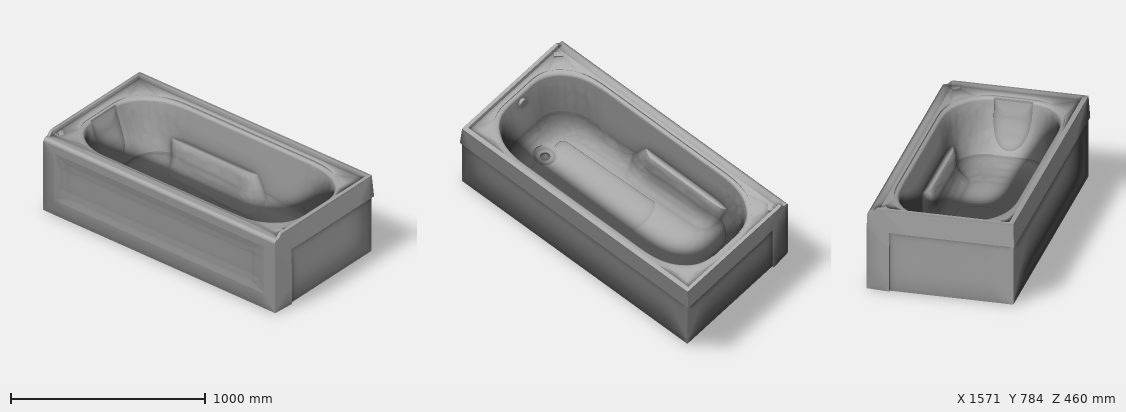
import cadquery as cq
import math

LENGTH = 1571.0
WIDTH = 784.0
HEIGHT = 460.0
HALF_X = LENGTH / 2
HALF_Y = WIDTH / 2

SKIRT_TOP_Z = 451.0
SKIRT_EDGE_Z = 333.0
SKIRT_LEAN = 10.0
BACK_LEAN = 6.0
SKIRT_FRONT_EDGE_Y = -270.0
PANEL_INSET = 11.0
BACK_PANEL_INSET = 6.0
FACET_TOP_Y = -302.0
FLANGE_FRONT_Y = -340.0

DECK_Z = 426.0
DECK_RISE = 14.0
DECK_EDGE_Z = DECK_Z + DECK_RISE
THRESHOLD_Z = 437.0
THRESHOLD_Y = -333.0
FLANGE_INNER_X = 757.0
FLANGE_INNER_Y = 360.0
FLANGE_DRAFT = 5.0
CREST_Y = -370.0
ROUND_START_Z = 418.0
THRESHOLD_FALL = 5.0

FACET_OUT_X = 700.0
FACET_IN_X = 573.0
FACET_OUT_Y = 300.0
FACET_IN_Y = 206.0
CORNERS = [(-1, -1), (1, -1), (1, 1), (-1, 1)]

PANEL_HALF_X = 702.0
PANEL_BOTTOM_Z = 90.0
PANEL_TOP_Z = 374.0
BEVEL_WIDTH = 41.0
OUTER_BEVEL_DEPTH = 6.0
PANEL_DEPTH = 10.0

BASIN_Y = 8.0
RIM_LEFT = -720.0
RIM_RIGHT = 729.0
RIM_HALF_Y = 328.0
LIP_INSET = 20.0
LIP_DROP = 15.0
CREASE_Z = 163.0
CREASE_LEFT = -573.0
CREASE_RIGHT = 665.0
CREASE_HALF_Y = 267.0
WALL_SHARES = (0, 0.33, 0.66, 1)
BACKREST_BULGE = 22.0
FLOOR_HIGH_Z = 91.0
FLOOR_FALL = 0.045
FLOOR_LEFT = -402.0
FLOOR_RIGHT = 556.0
FLOOR_HALF_Y = 145.0
CORNER_FULLNESS = 0.73
CORNER_LONG = 306.0
CORNER_WIDE = 225.0
CORNER_LONG_CREASE = 251.0
CORNER_WIDE_CREASE = 189.0
CORNER_LONG_FLOOR = 55.0
CORNER_WIDE_FLOOR = 55.0

WELL_ARC_X = -141.0
WELL_CORNER_X = -95.0
WELL_RIGHT = 544.0
WELL_HALF_Y = 138.0
WELL_DEPTH = 3.0
WELL_CORNER = 31.0

DRAIN_X = 540.0
SUMP_RADIUS = 63.0
SUMP_SEAT_RADIUS = 47.0
SUMP_DEPTH = 10.0
DRAIN_RADIUS = 27.0
DRAIN_DEPTH = 15.0
OVERFLOW_Z = 370.0
OVERFLOW_RADIUS = 25.0
OVERFLOW_FACE_X = 690.0
OVERFLOW_REACH = 31.0

ARM_LEVELS = [
    (235.0, 157.0, 247.0, 0),
    (212.0, 189.0, 235.0, 0),
    (150.0, 315.0, 226.0, 0.5),
    (116.0, 425.0, 203.0, 1),
    (96.0, 534.0, 167.0, 1),
    (86.0, 597.0, 132.0, 1),
]
ARM_START_X = -487.0
ARM_START_LENGTH = 125.0
ARM_BACK_Y = 306.0
ARM_BEND_X = 24.0

HEAD_HALF_Y = 102.0
HEAD_LEFT = -726.0
HEAD_RIGHT = -590.0
HEAD_DEPTH = 10.0

STOP_X = 727.0
STOP_Y = -305.0
STOP_LENGTH = 44.0
STOP_WIDTH = 25.0
STOP_HEIGHT = 19.0


def outer_body():
    """Block with leaning side skirts and a leaning back, chamfered across the upper front corners."""
    narrow = HALF_X - SKIRT_LEAN
    end_outline = (
        cq.Workplane("XZ", origin=(0, HALF_Y, 0))
        .polyline([
            (-HALF_X, 0), (HALF_X, 0), (HALF_X, SKIRT_EDGE_Z), (narrow, SKIRT_TOP_Z),
            (narrow, HEIGHT), (-narrow, HEIGHT), (-narrow, SKIRT_TOP_Z), (-HALF_X, SKIRT_EDGE_Z),
        ])
        .close().extrude(WIDTH)
    )
    plan = (
        cq.Workplane("XY")
        .polyline([
            (-narrow, -HALF_Y), (narrow, -HALF_Y), (HALF_X, SKIRT_FRONT_EDGE_Y), (HALF_X, HALF_Y),
            (-HALF_X, HALF_Y), (-HALF_X, SKIRT_FRONT_EDGE_Y),
        ])
        .close().extrude(HEIGHT)
    )
    round_middle = (
        -HALF_Y + (CREST_Y + HALF_Y) * (1 - math.sqrt(0.5)),
        ROUND_START_Z + (THRESHOLD_Z - ROUND_START_Z) * math.sqrt(0.5),
    )
    side_outline = (
        cq.Workplane("YZ", origin=(-HALF_X, 0, 0))
        .polyline([
            (-HALF_Y, 0), (HALF_Y, 0), (HALF_Y, SKIRT_EDGE_Z), (HALF_Y - BACK_LEAN, SKIRT_TOP_Z),
            (HALF_Y - BACK_LEAN, HEIGHT), (FLANGE_FRONT_Y, HEIGHT),
            (FLANGE_FRONT_Y - HEIGHT + THRESHOLD_Z, THRESHOLD_Z), (CREST_Y, THRESHOLD_Z),
        ])
        .threePointArc(round_middle, (-HALF_Y, ROUND_START_Z))
        .close().extrude(LENGTH)
    )
    body = end_outline.intersect(plan).intersect(side_outline)

    run = SKIRT_TOP_Z - SKIRT_EDGE_Z
    for side in (-1, 1):
        upper = cq.Vector(side * narrow, FACET_TOP_Y, SKIRT_TOP_Z)
        down_skirt = cq.Vector(side * SKIRT_LEAN, run, -run)
        across = cq.Vector(side * narrow, -HALF_Y, SKIRT_TOP_Z - (FACET_TOP_Y + HALF_Y)) - upper
        normal = across.cross(down_skirt) * side
        facet = cq.Plane(origin=upper.toTuple(), xDir=across.toTuple(), normal=normal.toTuple())
        body = body.cut(cq.Workplane(facet).rect(2 * LENGTH, 2 * LENGTH).extrude(LENGTH / 4))
    return body


def panel_setback():
    """Material removed below the skirt so that the side and back panels stand behind it."""
    side_depth = HALF_Y - SKIRT_FRONT_EDGE_Y
    cutter = cq.Workplane("XY").box(
        LENGTH, BACK_PANEL_INSET, SKIRT_EDGE_Z, centered=(True, False, False)
    ).translate((0, HALF_Y - BACK_PANEL_INSET, 0))
    for side in (-1, 1):
        slab = cq.Workplane("XY").box(PANEL_INSET, side_depth, SKIRT_EDGE_Z, centered=(True, False, False))
        cutter = cutter.union(slab.translate((side * (HALF_X - PANEL_INSET / 2), SKIRT_FRONT_EDGE_Y, 0)))
    return cutter


def deck_pocket():
    """Space above the deck: drafted inside the flange, open over the front threshold."""
    def level(inset):
        half_x = FLANGE_INNER_X - inset
        back_y = FLANGE_INNER_Y - inset
        return [(-half_x, THRESHOLD_Y), (half_x, THRESHOLD_Y), (half_x, back_y), (-half_x, back_y)]

    pocket = (
        cq.Workplane("XY", origin=(0, 0, DECK_EDGE_Z)).polyline(level(FLANGE_DRAFT)).close()
        .workplane(offset=HEIGHT - DECK_EDGE_Z).polyline(level(0)).close()
        .loft(ruled=True)
    )
    above_threshold = (
        cq.Workplane("YZ", origin=(-FLANGE_INNER_X, 0, 0))
        .polyline([
            (-HALF_Y, THRESHOLD_Z), (CREST_Y, THRESHOLD_Z),
            (THRESHOLD_Y, THRESHOLD_Z - THRESHOLD_FALL), (THRESHOLD_Y, HEIGHT), (-HALF_Y, HEIGHT),
        ])
        .close().extrude(2 * FLANGE_INNER_X)
    )
    return pocket.union(above_threshold)


def solid_from_points(faces):
    """Closed solid from flat faces, each given as a list of corner points."""
    flat = [
        cq.Face.makeFromWires(cq.Wire.makePolygon([cq.Vector(*p) for p in points], close=True))
        for points in faces
    ]
    return cq.Workplane(obj=cq.Solid.makeSolid(cq.Shell.makeShell(flat)))


def frame_faces(rectangle, upright, level):
    """Slopes between a rectangle and an octagon, all listed corner by corner around the frame.

    Each corner has one octagon point on the upright side and one on the level side.
    """
    faces = []
    for i in range(4):
        j = (i + 1) % 4
        side = level if i % 2 == 0 else upright
        faces.append([rectangle[i], upright[i], level[i]])
        faces.append([rectangle[i], rectangle[j], side[j], side[i]])
    return faces


def front_recess():
    """Picture-frame recess in the apron: two bevels with a triangular facet pair at each corner."""
    middle_z = (PANEL_TOP_Z + PANEL_BOTTOM_Z) / 2
    half_z = (PANEL_TOP_Z - PANEL_BOTTOM_Z) / 2

    def ring(inset_x, inset_z, depth):
        half_x = PANEL_HALF_X - inset_x
        return [
            (side * half_x, -HALF_Y + depth, middle_z + up * (half_z - inset_z)) for side, up in CORNERS
        ]

    outer = ring(0, 0, 0)
    upright = ring(BEVEL_WIDTH, 2 * BEVEL_WIDTH, OUTER_BEVEL_DEPTH)
    level = ring(2 * BEVEL_WIDTH, BEVEL_WIDTH, OUTER_BEVEL_DEPTH)
    inner = ring(2 * BEVEL_WIDTH, 2 * BEVEL_WIDTH, PANEL_DEPTH)
    bevels = frame_faces(outer, upright, level) + frame_faces(inner, upright, level)
    return solid_from_points([outer, inner] + bevels)


def deck_dish():
    """Shallow dish between the flange and the basin mouth, with a triangular facet at each corner."""
    half_x = FLANGE_INNER_X - FLANGE_DRAFT
    back_y = FLANGE_INNER_Y - FLANGE_DRAFT
    outer = [(side * half_x, back_y if up > 0 else THRESHOLD_Y, DECK_EDGE_Z) for side, up in CORNERS]
    upright = [(side * FACET_OUT_X, BASIN_Y + up * FACET_IN_Y, DECK_Z) for side, up in CORNERS]
    level = [(side * FACET_IN_X, BASIN_Y + up * FACET_OUT_Y, DECK_Z) for side, up in CORNERS]
    bottom = [upright[0], level[0], level[1], upright[1], upright[2], level[2], level[3], upright[3]]
    return solid_from_points([outer, bottom] + frame_faces(outer, upright, level))


def basin_section(z, left, right, half_y, corner_long, corner_wide, fall=0):
    """Outline of the basin: a rectangle whose corners are quarter ellipses.

    The outline is level, or falls towards +X from the height z at the left end of the floor.
    """
    def quarter(sx, sy, reverse):
        end_x = right if sx > 0 else left
        centre_x = end_x - sx * corner_long
        centre_y = sy * (half_y - corner_wide)
        points = [
            (centre_x + sx * corner_long * c, BASIN_Y + centre_y + sy * corner_wide * s)
            for c, s in ((1, 0), (CORNER_FULLNESS, CORNER_FULLNESS), (0, 1))
        ]
        tangents = [(0, sy, 0), (-sx, 0, sx * fall)]
        if reverse:
            points.reverse()
            tangents = [(sx, 0, -sx * fall), (0, -sy, 0)]
        return points, tangents

    def raised(point):
        x, y = point
        return cq.Vector(x, y, z - fall * (x - FLOOR_LEFT))

    edges = []
    quarters = [quarter(1, 1, False), quarter(-1, 1, True), quarter(-1, -1, False), quarter(1, -1, True)]
    for i, (points, tangents) in enumerate(quarters):
        arc = [raised(point) for point in points]
        following = raised(quarters[(i + 1) % len(quarters)][0][0])
        edges.append(cq.Edge.makeSpline(arc, tangents=[cq.Vector(*t) for t in tangents]))
        edges.append(cq.Edge.makeLine(arc[-1], following))
    return cq.Wire.assembleEdges(edges)


def blend(start, end, share):
    return start + (end - start) * share


def basin_wall_place(share):
    """X and Z of the backrest; share runs from 0 at the lip to 1 at the crease."""
    straight_x = blend(RIM_LEFT + LIP_INSET, CREASE_LEFT, share)
    bulge = BACKREST_BULGE * math.sin(math.pi * share)
    return straight_x - bulge, blend(DECK_Z - LIP_DROP, CREASE_Z, share)


def basin_wall_section(share):
    """Section of the steep wall; share runs from 0 at the lip to 1 at the crease."""
    left, z = basin_wall_place(share)
    return basin_section(
        z,
        left,
        blend(RIM_RIGHT - LIP_INSET, CREASE_RIGHT, share),
        blend(RIM_HALF_Y - LIP_INSET, CREASE_HALF_Y, share),
        blend(CORNER_LONG, CORNER_LONG_CREASE, share),
        blend(CORNER_WIDE, CORNER_WIDE_CREASE, share),
    )


def basin_bottom_section(angle):
    """Section of the rounded bottom; the angle runs from 0 at the crease to 90 at the floor."""
    sideways = 1 - math.cos(math.radians(angle))
    down = math.sin(math.radians(angle))
    return basin_section(
        blend(CREASE_Z, FLOOR_HIGH_Z, down),
        blend(CREASE_LEFT, FLOOR_LEFT, sideways),
        blend(CREASE_RIGHT, FLOOR_RIGHT, sideways),
        blend(CREASE_HALF_Y, FLOOR_HALF_Y, sideways),
        blend(CORNER_LONG_CREASE, CORNER_LONG_FLOOR, sideways),
        blend(CORNER_WIDE_CREASE, CORNER_WIDE_FLOOR, sideways),
        FLOOR_FALL * down,
    )


def loft(wires):
    return cq.Workplane(obj=cq.Solid.makeLoft(wires))


def basin_mouth():
    """Rounded lip between the deck and the basin wall, as a quarter round of level sections."""
    sections = []
    for angle in (0, 30, 60, 90):
        inset = LIP_INSET * math.sin(math.radians(angle))
        drop = LIP_DROP * (1 - math.cos(math.radians(angle)))
        sections.append(basin_section(
            DECK_Z - drop, RIM_LEFT + inset, RIM_RIGHT - inset, RIM_HALF_Y - inset,
            CORNER_LONG, CORNER_WIDE,
        ))
    opening = basin_section(DECK_EDGE_Z, RIM_LEFT, RIM_RIGHT, RIM_HALF_Y, CORNER_LONG, CORNER_WIDE)
    above = cq.Workplane(obj=cq.Solid.makeLoft([opening, sections[0]], True))
    return loft(sections).union(above)


def floor_z(x):
    """Height of the floor, which falls evenly towards the drain."""
    return FLOOR_HIGH_Z - FLOOR_FALL * (x - FLOOR_LEFT)


def floor_well():
    """Sunken standing area: bowed at its left end, following the slope of the floor."""
    plan = (
        cq.Workplane("XY")
        .moveTo(WELL_CORNER_X, BASIN_Y - WELL_HALF_Y).lineTo(WELL_RIGHT, BASIN_Y - WELL_HALF_Y)
        .lineTo(WELL_RIGHT, BASIN_Y + WELL_HALF_Y).lineTo(WELL_CORNER_X, BASIN_Y + WELL_HALF_Y)
        .threePointArc((WELL_ARC_X, BASIN_Y), (WELL_CORNER_X, BASIN_Y - WELL_HALF_Y))
        .close().extrude(CREASE_Z)
        .edges("|Z and >X").fillet(WELL_CORNER)
    )
    left_z = floor_z(FLOOR_LEFT)
    right_z = floor_z(FLOOR_RIGHT)
    layer = (
        cq.Workplane("XZ", origin=(0, HALF_Y, 0))
        .polyline([
            (FLOOR_LEFT, left_z - WELL_DEPTH), (FLOOR_RIGHT, right_z - WELL_DEPTH),
            (FLOOR_RIGHT, right_z + WELL_DEPTH), (FLOOR_LEFT, left_z + WELL_DEPTH),
        ])
        .close().extrude(WIDTH)
    )
    return plan.intersect(layer)


def drain():
    """Conical sump around a round drain hole."""
    top = floor_z(DRAIN_X)
    seat = top - SUMP_DEPTH
    bottom = seat - DRAIN_DEPTH
    profile = [
        (0, bottom), (DRAIN_RADIUS, bottom), (DRAIN_RADIUS, seat), (SUMP_SEAT_RADIUS, seat),
        (SUMP_RADIUS, top), (SUMP_RADIUS, top + SUMP_DEPTH), (0, top + SUMP_DEPTH),
    ]
    return (
        cq.Workplane("XZ").polyline(profile).close().revolve(360, (0, 0), (0, 1))
        .translate((DRAIN_X, BASIN_Y, 0))
    )


def overflow():
    """Round cover standing a little out of the wall above the drain."""
    return (
        cq.Workplane("YZ", origin=(OVERFLOW_FACE_X, BASIN_Y, OVERFLOW_Z))
        .circle(OVERFLOW_RADIUS).extrude(OVERFLOW_REACH)
    )


def headrest():
    """Shallow D-shaped recess in the backrest, following its slope."""
    straight_end = HEAD_RIGHT - HEAD_HALF_Y
    plan = (
        cq.Workplane("XY")
        .moveTo(HEAD_LEFT, BASIN_Y - HEAD_HALF_Y).lineTo(straight_end, BASIN_Y - HEAD_HALF_Y)
        .threePointArc((HEAD_RIGHT, BASIN_Y), (straight_end, BASIN_Y + HEAD_HALF_Y))
        .lineTo(HEAD_LEFT, BASIN_Y + HEAD_HALF_Y)
        .close().extrude(HEIGHT)
    )
    wall = [basin_wall_place(share) for share in WALL_SHARES]
    back = [(x - HEAD_DEPTH, z) for x, z in wall]
    depth = (
        cq.Workplane("XZ", origin=(0, HALF_Y, 0))
        .moveTo(HEAD_RIGHT, HEIGHT).lineTo(back[0][0], HEIGHT).lineTo(*back[0])
        .spline(back[1:], includeCurrent=True)
        .lineTo(HEAD_RIGHT, back[-1][1])
        .close().extrude(WIDTH)
    )
    return plan.intersect(depth)


def armrest_section(z, x_end, y_edge, slope_share):
    """Outline of one armrest: buried in the side wall, its inner edge sweeping back to it."""
    fall = FLOOR_FALL * slope_share

    def place(x, y):
        return cq.Vector(x, y, z - fall * (x - FLOOR_LEFT))

    start = place(ARM_START_X + ARM_START_LENGTH, y_edge)
    bend = place(ARM_BEND_X, y_edge)
    end = place(x_end, ARM_BACK_Y)
    corner = place(ARM_START_X, ARM_BACK_Y)
    along = cq.Vector(1, 0, -fall)
    inwards = cq.Vector(0, -1, 0)
    return cq.Wire.assembleEdges([
        cq.Edge.makeLine(start, bend),
        cq.Edge.makeSpline([bend, end], tangents=[along, along]),
        cq.Edge.makeLine(end, corner),
        cq.Edge.makeSpline([corner, start], tangents=[inwards, along]),
    ])


def armrests():
    """Pair of armrests whose inner walls curve down to the floor."""
    arm = loft([armrest_section(*level) for level in ARM_LEVELS]).translate((0, BASIN_Y, 0))
    return arm.union(arm.mirror("XZ", (0, BASIN_Y, 0)))


def stop_block(side):
    """Small block set diagonally across the deck corner at the front end of the flange."""
    block = cq.Workplane("XY").box(STOP_LENGTH, STOP_WIDTH, STOP_HEIGHT, centered=(True, True, False))
    return block.rotate((0, 0, 0), (0, 0, 1), side * 45).translate((side * STOP_X, STOP_Y, DECK_Z))


basin = loft([basin_wall_section(share) for share in WALL_SHARES])
basin = basin.union(loft([basin_bottom_section(angle) for angle in (0, 25, 50, 70, 90)]))
basin = basin.union(basin_mouth()).cut(armrests())

body = outer_body().cut(panel_setback())
body = body.cut(deck_pocket()).cut(deck_dish())
body = body.cut(front_recess())
body = body.cut(basin).cut(floor_well()).cut(drain()).cut(headrest())
body = body.union(overflow())
for side in (-1, 1):
    body = body.union(stop_block(side))

result = body